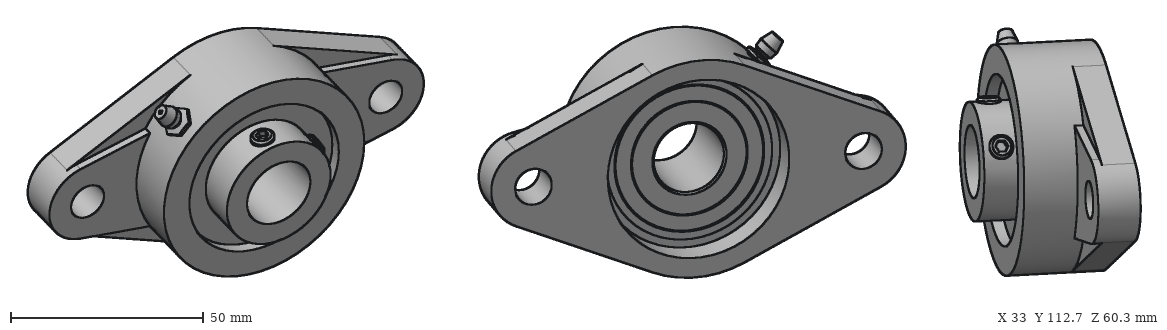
import cadquery as cq
import math


LENGTH = 112.7
HUB_DIAMETER = 60.3
HUB_RADIUS = HUB_DIAMETER / 2
HUB_END_X = 25.5
FLANGE_THICKNESS = 11.3
LOWER_STEP_THICKNESS = 8.9
BOLT_SPACING = 89.7
EAR_OFFSET = BOLT_SPACING / 2
EAR_RADIUS = LENGTH / 2 - EAR_OFFSET
BOLT_HOLE_DIAMETER = 9.9
UPPER_STEP_TAPER_DEG = 10.4

RECESS_DIAMETER = 49.4
RECESS_DEPTH = 8.1
SEAT_DIAMETER = 45.0

OUTER_RING_WIDTH = 14.0
BEARING_END_X = 33.0
COLLAR_DIAMETER = 31.2
BORE_DIAMETER = 19.0
BORE_CHAMFER = 0.6
SEAL_GROOVE_DIAMETERS = (31.7, 40.7)
SEAL_GROOVE_WIDTH = 0.2
SEAL_GROOVE_DEPTH = 0.3

FIRST_SCREW_ANGLE_DEG = -7.5
SCREW_SPACING_DEG = 70.0
SCREW_ANGLES_DEG = (FIRST_SCREW_ANGLE_DEG, FIRST_SCREW_ANGLE_DEG + SCREW_SPACING_DEG)
SCREW_X = 28.2
SCREW_DIAMETER = 6.3
SCREW_END_RADIUS = 16.7
SCREW_CHAMFER = 0.7
SCREW_SOCKET_ACROSS_FLATS = 2.9
SCREW_SOCKET_DEPTH = 1.7

NIPPLE_ANGLE_DEG = -45.0
NIPPLE_X = 18.5
NIPPLE_STEM_DIAMETER = 6.0
NIPPLE_HEX_ACROSS_FLATS = 7.2
NIPPLE_HEX_BOTTOM = 30.4
NIPPLE_HEX_CORNER_TOP = 31.3
NIPPLE_NECK_DIAMETER = 3.6
NIPPLE_NECK_BOTTOM = 31.9
NIPPLE_NECK_TOP = 32.1
NIPPLE_HEAD_BASE_DIAMETER = 5.2
NIPPLE_HEAD_BASE_HEIGHT = 32.9
NIPPLE_RIDGE_DIAMETER = 5.6
NIPPLE_RIDGE_HEIGHT = 35.0
NIPPLE_TIP_DIAMETER = 3.8
NIPPLE_TIP_HEIGHT = 38.3
NIPPLE_HOLE_DIAMETER = 1.0
NIPPLE_HOLE_DEPTH = 2.3


def cylinder_x(diameter, start_x, end_x):
    """Cylinder on the shaft axis from start_x to end_x."""
    return cq.Workplane("YZ").workplane(offset=start_x).circle(diameter / 2).extrude(end_x - start_x)


def radial_plane(x, angle_deg, radius):
    """Plane facing outwards at the given radius; its local X is the shaft axis."""
    angle = math.radians(angle_deg)
    outward = cq.Vector(0, math.sin(angle), math.cos(angle))
    origin = cq.Vector(x, 0, 0) + outward * radius
    return cq.Plane(origin=origin, xDir=cq.Vector(1, 0, 0), normal=outward)


def across_corners(across_flats):
    """Corner-to-corner diameter of a regular hexagon."""
    return across_flats / math.cos(math.pi / 6)


def arm(hub_y, hub_z, taper_deg, thickness):
    """Both ears joined by straight edges, which leave the ear arcs as tangents.

    The edges slope at taper_deg and reach the hub at (hub_y, hub_z).
    """
    taper = math.radians(taper_deg)
    ear_y = EAR_OFFSET + EAR_RADIUS * math.sin(taper)
    ear_z = EAR_RADIUS * math.cos(taper)
    return (
        cq.Workplane("YZ")
        .moveTo(-hub_y, hub_z)
        .lineTo(hub_y, hub_z)
        .lineTo(ear_y, ear_z)
        .threePointArc((LENGTH / 2, 0), (ear_y, -ear_z))
        .lineTo(hub_y, -hub_z)
        .lineTo(-hub_y, -hub_z)
        .lineTo(-ear_y, -ear_z)
        .threePointArc((-LENGTH / 2, 0), (-ear_y, ear_z))
        .close()
        .extrude(thickness)
    )


def make_flange():
    """Two-step oval flange, narrower in the upper step."""
    lower_taper = math.asin((HUB_RADIUS - EAR_RADIUS) / EAR_OFFSET)
    lower_step = arm(
        HUB_RADIUS * math.sin(lower_taper),
        HUB_RADIUS * math.cos(lower_taper),
        math.degrees(lower_taper),
        LOWER_STEP_THICKNESS,
    )
    upper_taper = math.radians(UPPER_STEP_TAPER_DEG)
    edge_distance = EAR_RADIUS + EAR_OFFSET * math.sin(upper_taper)
    hub_angle = upper_taper + math.acos(edge_distance / HUB_RADIUS)
    upper_step = arm(
        HUB_RADIUS * math.sin(hub_angle),
        HUB_RADIUS * math.cos(hub_angle),
        UPPER_STEP_TAPER_DEG,
        FLANGE_THICKNESS,
    )
    return lower_step.union(upper_step)


def revolve_about_nipple_axis(points):
    """Solid of revolution about the nipple axis from (radius, height) outline points."""
    base = radial_plane(NIPPLE_X, NIPPLE_ANGLE_DEG, 0)
    profile_plane = cq.Plane(origin=base.origin, xDir=base.xDir, normal=-base.yDir)
    return cq.Workplane(profile_plane).polyline(points).close().revolve(360, (0, 0, 0), (0, 1, 0))


def make_nipple_hexagon():
    """Hexagon with corners across the shaft axis and a conical top that falls from neck to corners."""
    corner_diameter = across_corners(NIPPLE_HEX_ACROSS_FLATS)
    prism = (
        cq.Workplane(radial_plane(NIPPLE_X, NIPPLE_ANGLE_DEG, NIPPLE_HEX_BOTTOM))
        .transformed(rotate=(0, 0, 90))
        .polygon(6, corner_diameter)
        .extrude(NIPPLE_NECK_BOTTOM - NIPPLE_HEX_BOTTOM)
    )
    cone_topped_disc = revolve_about_nipple_axis(
        [
            (0, NIPPLE_HEX_BOTTOM),
            (corner_diameter / 2, NIPPLE_HEX_BOTTOM),
            (corner_diameter / 2, NIPPLE_HEX_CORNER_TOP),
            (NIPPLE_NECK_DIAMETER / 2, NIPPLE_NECK_BOTTOM),
            (0, NIPPLE_NECK_BOTTOM),
        ]
    )
    return prism.intersect(cone_topped_disc)


def make_nipple():
    """Grease nipple: a stem out of the hub, a hexagon, a neck and a tapered head with a hole."""
    stem_start = (SEAT_DIAMETER / 2 + HUB_RADIUS) / 2
    turned = revolve_about_nipple_axis(
        [
            (0, stem_start),
            (NIPPLE_STEM_DIAMETER / 2, stem_start),
            (NIPPLE_STEM_DIAMETER / 2, NIPPLE_HEX_BOTTOM),
            (NIPPLE_NECK_DIAMETER / 2, NIPPLE_HEX_BOTTOM),
            (NIPPLE_NECK_DIAMETER / 2, NIPPLE_NECK_TOP),
            (NIPPLE_HEAD_BASE_DIAMETER / 2, NIPPLE_HEAD_BASE_HEIGHT),
            (NIPPLE_RIDGE_DIAMETER / 2, NIPPLE_RIDGE_HEIGHT),
            (NIPPLE_TIP_DIAMETER / 2, NIPPLE_TIP_HEIGHT),
            (0, NIPPLE_TIP_HEIGHT),
        ]
    )
    hole = (
        cq.Workplane(radial_plane(NIPPLE_X, NIPPLE_ANGLE_DEG, NIPPLE_TIP_HEIGHT))
        .circle(NIPPLE_HOLE_DIAMETER / 2)
        .extrude(-NIPPLE_HOLE_DEPTH)
    )
    return turned.union(make_nipple_hexagon()).cut(hole)


def make_housing():
    """Flange, hub and grease nipple with the bearing seat and bolt holes."""
    body = make_flange().union(cylinder_x(HUB_DIAMETER, 0, HUB_END_X))
    body = body.cut(cylinder_x(RECESS_DIAMETER, 0, RECESS_DEPTH))
    body = body.cut(cylinder_x(SEAT_DIAMETER, 0, HUB_END_X))
    bolt_holes = (
        cq.Workplane("YZ")
        .pushPoints([(-EAR_OFFSET, 0), (EAR_OFFSET, 0)])
        .circle(BOLT_HOLE_DIAMETER / 2)
        .extrude(FLANGE_THICKNESS)
    )
    return body.cut(bolt_holes).union(make_nipple())


def make_set_screw(angle_deg):
    """Set screw with a chamfered end, starting halfway through the collar wall."""
    mean_collar_diameter = (BORE_DIAMETER + COLLAR_DIAMETER) / 2
    start_radius = mean_collar_diameter / 2
    start_plane = radial_plane(SCREW_X, angle_deg, start_radius)
    return (
        cq.Workplane(start_plane)
        .circle(SCREW_DIAMETER / 2)
        .extrude(SCREW_END_RADIUS - start_radius)
        .faces(cq.DirectionMinMaxSelector(start_plane.zDir))
        .chamfer(SCREW_CHAMFER)
    )


def make_screw_socket(angle_deg):
    """Hex socket to cut from the end of a set screw."""
    return (
        cq.Workplane(radial_plane(SCREW_X, angle_deg, SCREW_END_RADIUS))
        .polygon(6, across_corners(SCREW_SOCKET_ACROSS_FLATS))
        .extrude(-SCREW_SOCKET_DEPTH)
    )


def make_bearing():
    """Outer ring, seal and inner ring with its collar and set screws."""
    outer_ring = cylinder_x(SEAT_DIAMETER, RECESS_DEPTH, RECESS_DEPTH + OUTER_RING_WIDTH)
    body = outer_ring.union(cylinder_x(COLLAR_DIAMETER, RECESS_DEPTH, BEARING_END_X))
    body = body.cut(cylinder_x(BORE_DIAMETER, RECESS_DEPTH, BEARING_END_X))
    body = body.faces("<X").edges(cq.selectors.RadiusNthSelector(0)).chamfer(BORE_CHAMFER)
    for diameter in SEAL_GROOVE_DIAMETERS:
        groove_end = RECESS_DEPTH + SEAL_GROOVE_DEPTH
        groove = cylinder_x(diameter, RECESS_DEPTH, groove_end).cut(
            cylinder_x(diameter - 2 * SEAL_GROOVE_WIDTH, RECESS_DEPTH, groove_end)
        )
        body = body.cut(groove)
    for angle_deg in SCREW_ANGLES_DEG:
        body = body.union(make_set_screw(angle_deg)).cut(make_screw_socket(angle_deg))
    return body


housing = make_housing()
bearing = make_bearing()

result = cq.Compound.makeCompound([housing.solids().val(), bearing.solids().val()])